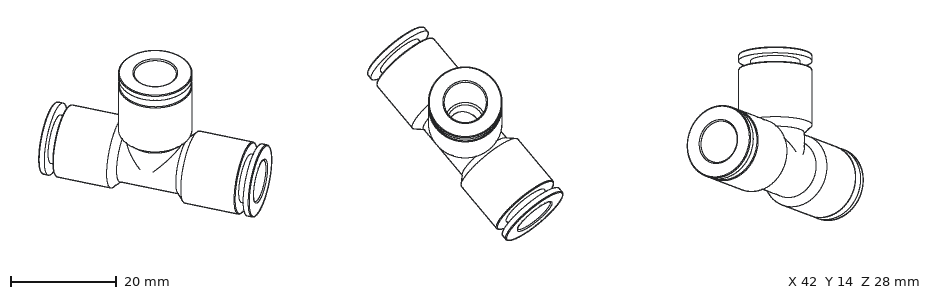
import cadquery as cq

arm_length = 21.0
body_diameter = 14.0
core_diameter = 11.0
neck_diameter = 9.4
bore_diameter = 7.0
socket_diameter = 8.0

flange_thickness = 1.18
neck_length = 1.65
body_length = 10.8
mouth_chamfer = 0.25
edge_chamfer = 0.15

body_radius = body_diameter / 2
core_radius = core_diameter / 2
neck_radius = neck_diameter / 2
bore_radius = bore_diameter / 2
socket_radius = socket_diameter / 2

flange_start = arm_length - flange_thickness
body_end = flange_start - neck_length
body_start = body_end - body_length
cone_start = body_start - (body_radius - core_radius)


def outer_arm():
    """Stepped outside of one arm, rising along Z from the tee centre."""
    rim_radius = body_radius - edge_chamfer
    profile = [
        (0, 0),
        (core_radius, 0),
        (core_radius, cone_start),
        (body_radius, body_start),
        (body_radius, body_end - edge_chamfer),
        (rim_radius, body_end),
        (neck_radius, body_end),
        (neck_radius, flange_start),
        (body_radius, flange_start),
        (body_radius, arm_length - edge_chamfer),
        (rim_radius, arm_length),
        (0, arm_length),
    ]
    return cq.Workplane("XZ").polyline(profile).close().revolve(360, (0, 0), (0, 1))


def arm_bore():
    """Flow bore of one arm, opening into a tube socket with a chamfered mouth."""
    profile = [
        (0, 0),
        (bore_radius, 0),
        (bore_radius, body_start),
        (socket_radius, body_start),
        (socket_radius, arm_length - mouth_chamfer),
        (socket_radius + mouth_chamfer, arm_length),
        (0, arm_length),
    ]
    return cq.Workplane("XZ").polyline(profile).close().revolve(360, (0, 0), (0, 1))


def tee(arm):
    """Join copies of an upright arm pointing along +X, -X and +Z."""
    right_arm = arm.rotate((0, 0, 0), (0, 1, 0), 90)
    left_arm = arm.rotate((0, 0, 0), (0, 1, 0), -90)
    run = right_arm.union(left_arm)
    return run.union(arm)


result = tee(outer_arm()).cut(tee(arm_bore()))